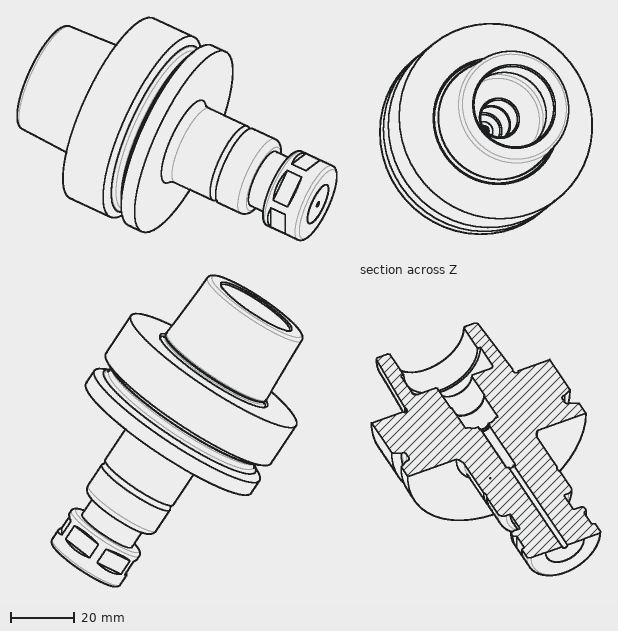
import cadquery as cq
import math

TOTAL_LENGTH = 100.0

TAPER_LENGTH = 23.0
TAPER_END_RADIUS = 19.1
TAPER_RATIO = 0.1
NOSE_FILLET = 1.0
TAPER_RIM_LENGTH = 0.5
NECK_RADIUS = 18.9
NECK_CHAMFER = 0.3

FLANGE_START = 24.8
FLANGE_LENGTH = 26.2
FLANGE_END = FLANGE_START + FLANGE_LENGTH
FLANGE_RADIUS = 63.0 / 2
RELIEF_START = 24.4
RELIEF_FILLET = 1.0
RELIEF_MOUTH_RADIUS = 20.4
GROOVE_OFFSET = 18.0
GROOVE_CENTER = FLANGE_START + GROOVE_OFFSET
GROOVE_HALF_WIDTH = 1.8
GROOVE_FLOOR_RADIUS = 27.6
GROOVE_FILLET = 0.9
GROOVE_BEVEL_HEIGHT = 2.6
GROOVE_BEVEL_ANGLE = 30.0
GROOVE_BEVEL_WIDTH = GROOVE_BEVEL_HEIGHT * math.tan(math.radians(GROOVE_BEVEL_ANGLE))

BODY_RADIUS = 26.0 / 2
BODY_END = 80.0
BODY_END_FILLET = 2.0
ROOT_FILLET = 4.0
ROOT_FILLET_LENGTH = 3.0
RING_START = 68.0
RING_END = 70.0
RING_DEPTH = 0.4

COLLET_NECK_RADIUS = 19.0 / 2
COLLET_FACE_RADIUS = 13.5 / 2
NUT_START = 86.8
NUT_END = 99.9
NUT_RADIUS = BODY_RADIUS
NUT_FILLET = 1.0
FLAT_COUNT = 6
FLAT_DISTANCE = 11.9
FLAT_CENTER = 92.2
FLAT_LENGTH = 5.2
FLAT_END_SLOPE = 30.0
CUT_MARGIN = 1.0

BORE_RADIUS = 26.0 / 2
BORE_CHAMFER = 0.5
BORE_STRAIGHT_LENGTH = 10.5
UNDERCUT_RADIUS = 14.0
UNDERCUT_FILLET = 1.0
BORE_DEPTH = 20.0
SEAT_RADIUS = 12.0 / 2
SEAT_CHAMFER = 0.5
SEAT_DEPTH = 10.0
PILOT_RADIUS = 11.3 / 2
PILOT_DEPTH = 10.0
CONE_LARGE_RADIUS = 10.0 / 2
CONE_SMALL_RADIUS = 6.0 / 2
CONE_LENGTH = 1.2
COOLANT_MOUTH_RADIUS = 3.5 / 2
COOLANT_MOUTH_DEPTH = 1.0
COOLANT_RADIUS = 3.0 / 2
COOLANT_DEPTH = 20.0
THROUGH_RADIUS = 1.7 / 2


def revolve_about_x(profile):
    return profile.revolve(360, (0, 0, 0), (1, 0, 0))


def turned_outside():
    nose_radius = TAPER_END_RADIUS - TAPER_LENGTH * TAPER_RATIO / 2
    rim_end = TAPER_LENGTH + TAPER_RIM_LENGTH
    groove_left = GROOVE_CENTER - GROOVE_HALF_WIDTH
    groove_right = GROOVE_CENTER + GROOVE_HALF_WIDTH
    bevel_radius = FLANGE_RADIUS - GROOVE_BEVEL_HEIGHT
    groove_round = GROOVE_FLOOR_RADIUS + GROOVE_FILLET
    root_drop = math.sqrt(ROOT_FILLET**2 - ROOT_FILLET_LENGTH**2)
    root_radius = BODY_RADIUS + ROOT_FILLET - root_drop
    profile = (
        cq.Workplane("XY")
        .lineTo(0, nose_radius - NOSE_FILLET)
        .radiusArc((NOSE_FILLET, nose_radius + NOSE_FILLET * TAPER_RATIO / 2), NOSE_FILLET)
        .lineTo(TAPER_LENGTH, TAPER_END_RADIUS)
        .lineTo(rim_end, TAPER_END_RADIUS)
        .lineTo(rim_end + NECK_CHAMFER, NECK_RADIUS)
        .lineTo(RELIEF_START, NECK_RADIUS)
        .radiusArc((RELIEF_START + RELIEF_FILLET, NECK_RADIUS + RELIEF_FILLET), -RELIEF_FILLET)
        .lineTo(FLANGE_START, RELIEF_MOUTH_RADIUS)
        .lineTo(FLANGE_START, FLANGE_RADIUS)
        .lineTo(groove_left - GROOVE_BEVEL_WIDTH, FLANGE_RADIUS)
        .lineTo(groove_left, bevel_radius)
        .lineTo(groove_left, groove_round)
        .radiusArc((groove_left + GROOVE_FILLET, GROOVE_FLOOR_RADIUS), -GROOVE_FILLET)
        .lineTo(groove_right - GROOVE_FILLET, GROOVE_FLOOR_RADIUS)
        .radiusArc((groove_right, groove_round), -GROOVE_FILLET)
        .lineTo(groove_right, bevel_radius)
        .lineTo(groove_right + GROOVE_BEVEL_WIDTH, FLANGE_RADIUS)
        .lineTo(FLANGE_END, FLANGE_RADIUS)
        .lineTo(FLANGE_END, root_radius)
        .radiusArc((FLANGE_END + ROOT_FILLET_LENGTH, BODY_RADIUS), -ROOT_FILLET)
        .lineTo(RING_START, BODY_RADIUS)
        .threePointArc(((RING_START + RING_END) / 2, BODY_RADIUS - RING_DEPTH), (RING_END, BODY_RADIUS))
        .lineTo(BODY_END - BODY_END_FILLET, BODY_RADIUS)
        .radiusArc((BODY_END, BODY_RADIUS - BODY_END_FILLET), BODY_END_FILLET)
        .lineTo(BODY_END, COLLET_NECK_RADIUS)
        .lineTo(NUT_START, COLLET_NECK_RADIUS)
        .lineTo(NUT_START, NUT_RADIUS - NUT_FILLET)
        .radiusArc((NUT_START + NUT_FILLET, NUT_RADIUS), NUT_FILLET)
        .lineTo(NUT_END - NUT_FILLET, NUT_RADIUS)
        .radiusArc((NUT_END, NUT_RADIUS - NUT_FILLET), NUT_FILLET)
        .lineTo(NUT_END, COLLET_FACE_RADIUS)
        .lineTo(TOTAL_LENGTH, COLLET_FACE_RADIUS)
        .lineTo(TOTAL_LENGTH, 0)
        .close()
    )
    return revolve_about_x(profile)


def bores():
    seat_end = BORE_DEPTH + SEAT_DEPTH
    pilot_end = seat_end + PILOT_DEPTH
    cone_end = pilot_end + CONE_LENGTH
    mouth_end = cone_end + COOLANT_MOUTH_DEPTH
    coolant_end = cone_end + COOLANT_DEPTH
    profile = (
        cq.Workplane("XY")
        .lineTo(0, BORE_RADIUS + BORE_CHAMFER)
        .lineTo(BORE_CHAMFER, BORE_RADIUS)
        .lineTo(BORE_STRAIGHT_LENGTH, BORE_RADIUS)
        .lineTo(BORE_STRAIGHT_LENGTH, UNDERCUT_RADIUS)
        .lineTo(BORE_DEPTH - UNDERCUT_FILLET, UNDERCUT_RADIUS)
        .radiusArc((BORE_DEPTH, UNDERCUT_RADIUS - UNDERCUT_FILLET), UNDERCUT_FILLET)
        .lineTo(BORE_DEPTH, SEAT_RADIUS + SEAT_CHAMFER)
        .lineTo(BORE_DEPTH + SEAT_CHAMFER, SEAT_RADIUS)
        .lineTo(seat_end, SEAT_RADIUS)
        .lineTo(seat_end, PILOT_RADIUS)
        .lineTo(pilot_end, PILOT_RADIUS)
        .lineTo(pilot_end, CONE_LARGE_RADIUS)
        .lineTo(cone_end, CONE_SMALL_RADIUS)
        .lineTo(cone_end, COOLANT_MOUTH_RADIUS)
        .lineTo(mouth_end, COOLANT_MOUTH_RADIUS)
        .lineTo(mouth_end, COOLANT_RADIUS)
        .lineTo(coolant_end, COOLANT_RADIUS)
        .lineTo(coolant_end, THROUGH_RADIUS)
        .lineTo(TOTAL_LENGTH, THROUGH_RADIUS)
        .lineTo(TOTAL_LENGTH, 0)
        .close()
    )
    return revolve_about_x(profile)


def wrench_pockets():
    outer_distance = NUT_RADIUS + CUT_MARGIN
    half_floor = FLAT_LENGTH / 2
    end_widening = (outer_distance - FLAT_DISTANCE) * math.tan(math.radians(FLAT_END_SLOPE))
    half_mouth = half_floor + end_widening
    chord_half_width = math.sqrt(NUT_RADIUS**2 - FLAT_DISTANCE**2)
    pocket_half_width = chord_half_width + CUT_MARGIN
    pocket = (
        cq.Workplane("XY")
        .polyline([
            (FLAT_CENTER - half_floor, FLAT_DISTANCE),
            (FLAT_CENTER + half_floor, FLAT_DISTANCE),
            (FLAT_CENTER + half_mouth, outer_distance),
            (FLAT_CENTER - half_mouth, outer_distance),
        ])
        .close()
        .extrude(pocket_half_width, both=True)
    )
    pockets = cq.Workplane("XY")
    for i in range(FLAT_COUNT):
        pockets = pockets.add(pocket.rotate((0, 0, 0), (1, 0, 0), i * 360 / FLAT_COUNT))
    return pockets.combine()


result = turned_outside().cut(bores()).cut(wrench_pockets())